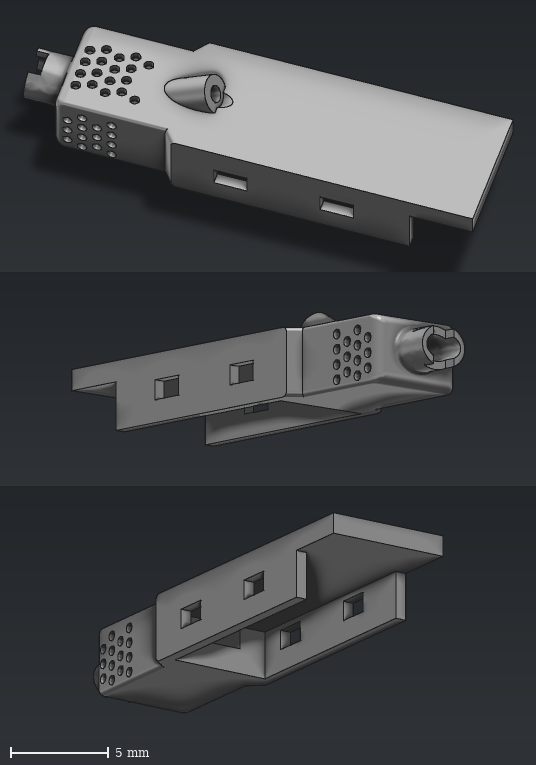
import cadquery as cq
import math

LENGTH = 24.9
BODY_WIDTH = 6.8
BODY_HEIGHT = 3.65
TOTAL_HEIGHT = 4.95

NOSE_FRONT_X = 2.0
NOSE_WIDTH = 5.5
SHOULDER_LENGTH = 0.52
SHOULDER_X_FRONT_SIDE = 8.07
SHOULDER_X_BACK_SIDE = 7.82
NOSE_END_RADIUS = 0.6
NOSE_LONG_RADIUS = 0.25

PLATE_BOTTOM_Z = 2.55
REAR_STEP_X = 21.5
WALL = 0.62
CAVITY_START_X = 9.45

WINDOW_STARTS_X = (10.9, 16.65)
WINDOW_LENGTH = 1.8
WINDOW_BOTTOM_Z = 1.2
WINDOW_HEIGHT = 1.05

TUBE_Z = 1.92
TUBE_WIDTH = 2.95
TUBE_HEIGHT = 2.27
BORE_WIDTH = 2.35
BORE_HEIGHT = 1.4
TUBE_BASE_RADIUS = 0.22
NOTCH_WIDTH = 1.42
NOTCH_DEPTH = 0.67

SLOT_WIDTH = 2.5
SLOT_HEIGHT = 1.2

PEG_ANGLE = 30.0
PEG_DIAMETER = 2.05
PEG_HOLE_DIAMETER = 0.9
PEG_TIP_X = 9.4
RELIEF_START_RADIUS = 0.7
RELIEF_LENGTH = 1.0
RELIEF_HALF_ANGLE = 11.0

DIMPLE_DIAMETER = 0.5
DIMPLE_DEPTH = 0.4
DIMPLE_PITCH = 0.8
DIMPLE_STAGGER = 0.3
DIMPLE_FIRST_X = 2.8
FULL_COLUMN_ROWS = 4
TOP_COLUMNS = 5
SIDE_COLUMNS = 4
SIDE_DIMPLE_TOP_Z = 2.91
TOP_DIMPLE_FIRST_Y = 1.35

half_body = BODY_WIDTH / 2
half_nose = NOSE_WIDTH / 2

MARGIN = 0.02


def box(x0, x1, y0, y1, z0, z1):
    """Axis-aligned block between two opposite corners."""
    return cq.Workplane("XY").box(x1 - x0, y1 - y0, z1 - z0, centered=False).translate((x0, y0, z0))


def elliptic_bar(width, height, x0, x1):
    """Bar of elliptical section along X, centred on the tube axis."""
    section = cq.Workplane("YZ", origin=(x0, 0, TUBE_Z)).ellipse(width / 2, height / 2)
    return section.extrude(x1 - x0)


def make_body():
    """Stepped plan outline with rounded nose edges and a rear undercut."""
    outline = [
        (NOSE_FRONT_X, -half_nose),
        (SHOULDER_X_FRONT_SIDE, -half_nose),
        (SHOULDER_X_FRONT_SIDE + SHOULDER_LENGTH, -half_body),
        (LENGTH, -half_body),
        (LENGTH, half_body),
        (SHOULDER_X_BACK_SIDE + SHOULDER_LENGTH, half_body),
        (SHOULDER_X_BACK_SIDE, half_nose),
        (NOSE_FRONT_X, half_nose),
    ]
    body = cq.Workplane("XY").polyline(outline).close().extrude(BODY_HEIGHT)
    body = body.cut(box(REAR_STEP_X, LENGTH, -half_body, half_body, 0, PLATE_BOTTOM_Z))

    shoulder_end_x = SHOULDER_X_FRONT_SIDE + SHOULDER_LENGTH
    nose_zone = cq.selectors.BoxSelector(
        (NOSE_FRONT_X + MARGIN, -half_body, -MARGIN), (shoulder_end_x, half_body, BODY_HEIGHT + MARGIN)
    )
    body = body.edges("#Z").edges(nose_zone).fillet(NOSE_LONG_RADIUS)
    return body.faces("<X").edges().fillet(NOSE_END_RADIUS)


def add_tube(body):
    """Elliptical tube blended into the nose."""
    tube = elliptic_bar(TUBE_WIDTH, TUBE_HEIGHT, 0, NOSE_FRONT_X + NOSE_END_RADIUS)
    seam_zone = cq.selectors.BoxSelector(
        (NOSE_FRONT_X - MARGIN, -TUBE_WIDTH / 2 - MARGIN, TUBE_Z - TUBE_HEIGHT / 2 - MARGIN),
        (NOSE_FRONT_X + MARGIN, TUBE_WIDTH / 2 + MARGIN, TUBE_Z + TUBE_HEIGHT / 2 + MARGIN),
        boundingbox=True,
    )
    return body.union(tube).edges(seam_zone).fillet(TUBE_BASE_RADIUS)


def cut_interior(body):
    """Tube bore, end notches, slot, cavity and side windows."""
    slot_start_x = NOSE_FRONT_X + NOSE_END_RADIUS
    half_slot = SLOT_WIDTH / 2
    slot_bottom_z = PLATE_BOTTOM_Z - SLOT_HEIGHT
    body = body.cut(elliptic_bar(BORE_WIDTH, BORE_HEIGHT, 0, slot_start_x))
    body = body.cut(box(slot_start_x, CAVITY_START_X, -half_slot, half_slot, slot_bottom_z, PLATE_BOTTOM_Z))
    half_notch = NOTCH_WIDTH / 2
    body = body.cut(box(0, NOTCH_DEPTH, -half_notch, half_notch, 0, BODY_HEIGHT))
    inner = half_body - WALL
    body = body.cut(box(CAVITY_START_X, REAR_STEP_X, -inner, inner, 0, PLATE_BOTTOM_Z))
    for x in WINDOW_STARTS_X:
        top_z = WINDOW_BOTTOM_Z + WINDOW_HEIGHT
        body = body.cut(box(x, x + WINDOW_LENGTH, -half_body, half_body, WINDOW_BOTTOM_Z, top_z))
    return body


def add_peg(body):
    """Inclined round peg with a hole that runs down into the slot."""
    angle = math.radians(PEG_ANGLE)
    radius = PEG_DIAMETER / 2
    centre_x = PEG_TIP_X + radius * math.sin(angle)
    centre_z = TOTAL_HEIGHT - radius * math.cos(angle)
    axis = (math.cos(angle), 0, math.sin(angle))
    face = cq.Plane(origin=(centre_x, 0, centre_z), xDir=(0, 1, 0), normal=axis)

    relief_end_radius = RELIEF_START_RADIUS + RELIEF_LENGTH * math.tan(math.radians(RELIEF_HALF_ANGLE))
    relief = (
        cq.Workplane(face).circle(RELIEF_START_RADIUS)
        .workplane(offset=RELIEF_LENGTH).circle(relief_end_radius).loft()
    )
    peg_length = (centre_z - PLATE_BOTTOM_Z) / math.sin(angle)
    above_slot = box(0, LENGTH, -half_body, half_body, PLATE_BOTTOM_Z, TOTAL_HEIGHT + MARGIN)
    peg = cq.Workplane(face).circle(radius).extrude(-peg_length).intersect(above_slot)
    hole_length = (centre_z - TUBE_Z) / math.sin(angle)
    hole = cq.Workplane(face).circle(PEG_HOLE_DIAMETER / 2).extrude(-hole_length)
    return body.cut(relief).union(peg).cut(hole)


def dimple_x(column):
    """X position of a dimple column."""
    return DIMPLE_FIRST_X + column * DIMPLE_PITCH


def top_dimple_points():
    """Four staggered columns of four, then a column with only its end dimples."""
    points = []
    for column in range(TOP_COLUMNS):
        first_y = TOP_DIMPLE_FIRST_Y - DIMPLE_STAGGER * (column % 2 == 0)
        rows = (0, FULL_COLUMN_ROWS - 1) if column == TOP_COLUMNS - 1 else range(FULL_COLUMN_ROWS)
        points += [(dimple_x(column), first_y - row * DIMPLE_PITCH) for row in rows]
    return points


def side_dimple_points():
    """Columns alternating between three and four dimples."""
    points = []
    for column in range(SIDE_COLUMNS):
        is_short = column % 2 == 0
        first_z = SIDE_DIMPLE_TOP_Z - (DIMPLE_PITCH - DIMPLE_STAGGER) * is_short
        rows = range(FULL_COLUMN_ROWS - is_short)
        points += [(dimple_x(column), first_z - row * DIMPLE_PITCH) for row in rows]
    return points


def cut_dimples(body):
    """Flat-bottomed grip dimples on the top and on both nose sides."""
    radius = DIMPLE_DIAMETER / 2
    top = cq.Workplane("XY", origin=(0, 0, BODY_HEIGHT)).pushPoints(top_dimple_points())
    body = body.cut(top.circle(radius).extrude(-DIMPLE_DEPTH))
    side = cq.Workplane("XZ", origin=(0, -half_nose, 0)).pushPoints(side_dimple_points())
    side_dimples = side.circle(radius).extrude(-DIMPLE_DEPTH)
    return body.cut(side_dimples).cut(side_dimples.mirror("XZ"))


result = cut_dimples(add_peg(cut_interior(add_tube(make_body()))))